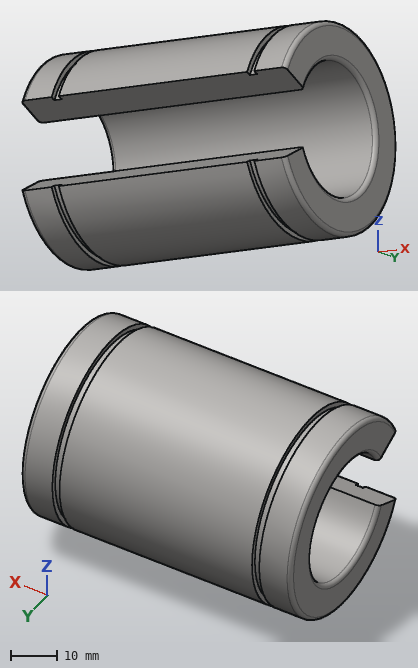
import cadquery as cq
import math

length = 68.0
outer_diameter = 47.0
bore_diameter = 30.0
edge_fillet = 1.0
outer_radius = outer_diameter / 2
bore_radius = bore_diameter / 2

groove_spacing = 52.1
groove_width = 1.85
groove_depth = 1.2

opening_angle = 50.0


def tube(outer, inner, width):
    """Tube along X, centred on the origin."""
    ring = cq.Workplane("YZ").circle(outer).circle(inner)
    return ring.extrude(width / 2, both=True)


def opening_wedge():
    """Wedge from the sleeve axis out past the outer surface."""
    reach = 2 * outer_radius
    half_width = reach * math.tan(math.radians(opening_angle / 2))
    outline = [(0, 0), (-reach, half_width), (-reach, -half_width)]
    return cq.Workplane("YZ").polyline(outline).close().extrude(length, both=True)


sleeve = tube(outer_radius, bore_radius, length)
sleeve = sleeve.faces("<X or >X").edges().fillet(edge_fillet)

groove_offset = (groove_spacing - groove_width) / 2
groove_ring = tube(outer_radius + groove_depth, outer_radius - groove_depth, groove_width)
for side in (-1, 1):
    sleeve = sleeve.cut(groove_ring.translate((side * groove_offset, 0, 0)))

result = sleeve.cut(opening_wedge())